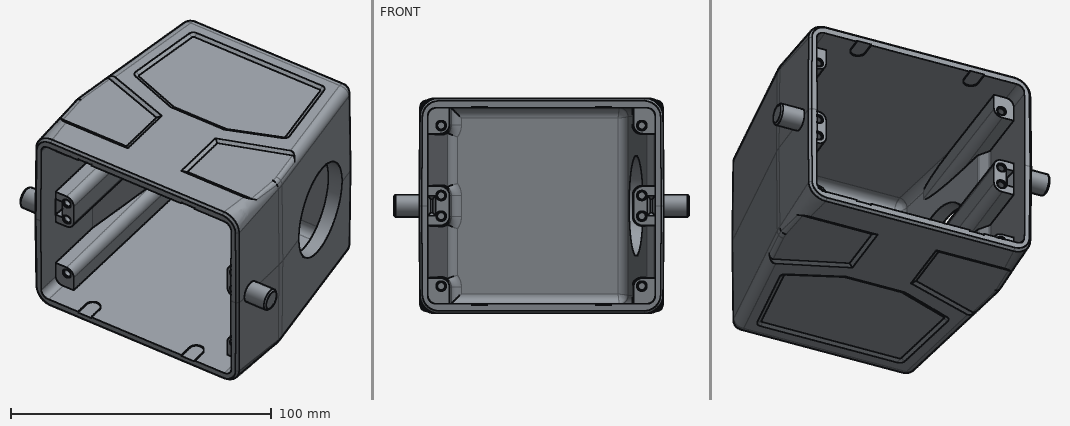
import cadquery as cq
import math

TOTAL_LENGTH = 113.2
BODY_WIDTH = 94.0
BODY_DEPTH = 94.0
BODY_HEIGHT = 82.5
HALF_WIDTH = BODY_WIDTH / 2
HALF_HEIGHT = BODY_HEIGHT / 2

SIDE_SLOPE = math.radians(8)
KNEE_Y = 29.9
KNEE_RADIUS = 21.0
CROWN_ANGLE = 0.5
EDGE_RADIUS = 4.0
RIM_CORNER_RADIUS = 7.4
RIM_CHAMFER = 1.0
CORNER_MARGIN = 1.1

OPENING_HALF_WIDTH = 43.7
CAVITY_HALF_HEIGHT = 37.6
FLOOR_Y = 90.0
OPENING_CORNER_RADIUS = 3.3
FLOOR_RADIUS = 3.8
INNER_KNEE_X = 43.4
INNER_KNEE_Y = 35.1
BOSS_START_Y = 31.7
BOSS_KNEE_X = 40.2
BOSS_KNEE_Y = 36.2
BOSS_EDGE_RADIUS = 1.7

POST_FACE_Y = 10.2
POST_INNER_X = 35.3
POST_OUTER_X = 50.9
MIDDLE_POST_HALF_HEIGHT = 7.5
CORNER_POST_Z = 27.7
CORNER_POST_TOP_Z = 45.3
POST_RADIUS = 3.4
POST_DRAFT = 0.5
SCREW_X = 38.5
SCREW_ROWS_Z = (4.0, 30.8)
SCREW_DIAMETER = 2.9
SCREW_CHAMFER = 0.5
SCREW_DEPTH = 13.6

NOTCH_INNER_X = 40.5
NOTCH_HALF_HEIGHT = 3.8
NOTCH_DEPTH = 3.4
NOTCH_TAPER = 20.0

GROOVE_X = 23.8
GROOVE_WIDTH = 6.0
GROOVE_END_Y = 9.0
GROOVE_DEPTH = 0.5

PEG_DIAMETER = 8.6
PEG_Y = 8.8
PEG_CHAMFER = 0.7
PEG_ROOT_X = OPENING_HALF_WIDTH + 1.1

ENTRY_DIAMETER = 38.5
ENTRY_X = 36.3
ENTRY_Y = 64.0
ENTRY_REACH = 2.8
ENTRY_LENGTH = 22.6

RECESS_DEPTH = 0.85
RECESS_WALL_ANGLE = 63.0
LABEL_TOP_Y = 85.8
LABEL_TOP_HALF_WIDTH = 30.8
LABEL_SIDE_Y = 51.6
LABEL_BOTTOM_Y = 42.9
LABEL_CORNER_RADIUS = 2.3
GRIP_INNER_X = 12.3
GRIP_OUTER_X = 52.1
GRIP_BOTTOM_Y = 13.0
GRIP_TOP_Y = 36.7
GRIP_SLOPE = math.radians(19)
GRIP_EDGE_RADIUS = 2.3


def leaned_x(x, from_y, to_y):
    """X of a side wall at to_y when it passes through x at from_y."""
    return x - (to_y - from_y) * math.tan(SIDE_SLOPE)


def both_sides(shape):
    """The shape together with its mirror image across X = 0."""
    return shape.union(shape.mirror("YZ"))


def outer_outline():
    """Outline of the hood in the parting plane, with a rounded knee in each side wall."""
    back_x = leaned_x(HALF_WIDTH, KNEE_Y, BODY_DEPTH)
    tangent = KNEE_RADIUS * math.tan(SIDE_SLOPE / 2)
    before_y = KNEE_Y - tangent
    after_y = KNEE_Y + tangent * math.cos(SIDE_SLOPE)
    after_x = leaned_x(HALF_WIDTH, KNEE_Y, after_y)
    middle_x = HALF_WIDTH - KNEE_RADIUS * (1 - math.cos(SIDE_SLOPE / 2))
    middle_y = before_y + KNEE_RADIUS * math.sin(SIDE_SLOPE / 2)
    return (
        cq.Workplane("XY")
        .moveTo(-HALF_WIDTH, 0)
        .lineTo(HALF_WIDTH, 0)
        .lineTo(HALF_WIDTH, before_y)
        .threePointArc((middle_x, middle_y), (after_x, after_y))
        .lineTo(back_x, BODY_DEPTH)
        .lineTo(-back_x, BODY_DEPTH)
        .lineTo(-after_x, after_y)
        .threePointArc((-middle_x, middle_y), (-HALF_WIDTH, before_y))
        .close()
    )


def corner_section(radius):
    """Points of the waste outside a rounded upper right corner: start, arc middle, arc end and outside."""
    side_x = HALF_WIDTH - (HALF_HEIGHT - radius) * math.tan(math.radians(CROWN_ANGLE))
    center_x = side_x - radius
    center_z = HALF_HEIGHT - radius
    diagonal = radius * math.sqrt(0.5)
    return (
        (center_x, HALF_HEIGHT),
        (center_x + diagonal, center_z + diagonal),
        (side_x, center_z),
        (side_x + CORNER_MARGIN, HALF_HEIGHT + CORNER_MARGIN),
    )


def corner_waste():
    """Waste outside the long edges, whose radius grows from the knee to the rim."""

    def draw(plane, radius):
        start, middle, end, outside = corner_section(radius)
        return (
            plane.moveTo(*start)
            .threePointArc(middle, end)
            .lineTo(outside[0], end[1])
            .lineTo(*outside)
            .lineTo(start[0], outside[1])
            .close()
        )

    rim = draw(cq.Workplane("XZ"), RIM_CORNER_RADIUS)
    swell_length = KNEE_Y - KNEE_RADIUS * math.tan(SIDE_SLOPE / 2)
    return both_sides(draw(rim.workplane(offset=-swell_length), EDGE_RADIUS).loft(ruled=True))


def recess_plane():
    return cq.Workplane("XY").workplane(offset=HALF_HEIGHT)


def label_recess():
    side_x = LABEL_TOP_HALF_WIDTH + (LABEL_TOP_Y - LABEL_SIDE_Y) * math.tan(SIDE_SLOPE)
    outline = [
        (-LABEL_TOP_HALF_WIDTH, LABEL_TOP_Y),
        (LABEL_TOP_HALF_WIDTH, LABEL_TOP_Y),
        (side_x, LABEL_SIDE_Y),
        (GRIP_INNER_X, LABEL_BOTTOM_Y),
        (-GRIP_INNER_X, LABEL_BOTTOM_Y),
        (-side_x, LABEL_SIDE_Y),
    ]
    sketch = cq.Sketch().polygon(outline + outline[:1]).vertices("not <Y").fillet(LABEL_CORNER_RADIUS)
    return recess_plane().placeSketch(sketch).extrude(-RECESS_DEPTH, taper=RECESS_WALL_ANGLE)


def grip_recess():
    """Recess beside the label that runs out through the rounded long edge."""
    outer_top_y = GRIP_TOP_Y + (GRIP_OUTER_X - GRIP_INNER_X) * math.tan(GRIP_SLOPE)
    outline = [
        (GRIP_INNER_X, GRIP_BOTTOM_Y),
        (GRIP_OUTER_X, GRIP_BOTTOM_Y),
        (GRIP_OUTER_X, outer_top_y),
        (GRIP_INNER_X, GRIP_TOP_Y),
    ]
    return recess_plane().polyline(outline).close().extrude(-RECESS_DEPTH, taper=RECESS_WALL_ANGLE)


def shell():
    """Solid hood: one drafted half with its recesses, mirrored across the parting plane."""
    half = outer_outline().extrude(HALF_HEIGHT, taper=CROWN_ANGLE)
    back_corners = cq.selectors.BoxSelector((-56.6, 90.6, 1.1), (56.6, 101.9, 34))
    half = half.edges(back_corners).fillet(EDGE_RADIUS)
    half = half.faces(">Z").edges("not <Y").fillet(EDGE_RADIUS).cut(corner_waste())
    half = half.cut(label_recess()).cut(both_sides(grip_recess()))
    half = half.faces("<Y").edges("not <Z").chamfer(RIM_CHAMFER)
    right_grip_rim = cq.selectors.BoxSelector((40.8, 14.7, 39.6), (47.5, 46.4, 40.8))
    left_grip_rim = cq.selectors.BoxSelector((-47.5, 14.7, 39.6), (-40.8, 46.4, 40.8))
    half = half.edges(right_grip_rim + left_grip_rim).fillet(GRIP_EDGE_RADIUS)
    return half.union(half.mirror("XY"))


def post(z_low, z_high):
    """Screw post along Y, widening toward the floor of the cavity."""
    sketch = (
        cq.Sketch()
        .push([((POST_INNER_X + POST_OUTER_X) / 2, (z_low + z_high) / 2)])
        .rect(POST_OUTER_X - POST_INNER_X, z_high - z_low)
        .reset()
        .vertices()
        .fillet(POST_RADIUS)
    )
    return (
        cq.Workplane("XZ", origin=(0, POST_FACE_Y, 0))
        .placeSketch(sketch)
        .extrude(POST_FACE_Y - BODY_DEPTH, taper=-POST_DRAFT)
    )


def posts():
    middle = post(-MIDDLE_POST_HALF_HEIGHT, MIDDLE_POST_HALF_HEIGHT)
    upper = post(CORNER_POST_Z, CORNER_POST_TOP_Z)
    return both_sides(middle.union(upper).union(upper.mirror("XY")))


def cavity():
    """Inner space of the hood, with the screw posts left standing."""
    slope_end = leaned_x(INNER_KNEE_X, INNER_KNEE_Y, FLOOR_Y)
    boss_end = leaned_x(BOSS_KNEE_X, BOSS_KNEE_Y, FLOOR_Y)
    outline = [
        (-OPENING_HALF_WIDTH, 0),
        (OPENING_HALF_WIDTH, 0),
        (INNER_KNEE_X, BOSS_START_Y),
        (BOSS_KNEE_X, BOSS_KNEE_Y),
        (boss_end, FLOOR_Y),
        (-slope_end, FLOOR_Y),
        (-INNER_KNEE_X, INNER_KNEE_Y),
    ]
    space = (
        cq.Workplane("XY")
        .workplane(offset=-CAVITY_HALF_HEIGHT)
        .polyline(outline)
        .close()
        .extrude(2 * CAVITY_HALF_HEIGHT)
    )
    step = cq.selectors.BoxSelector((0, BOSS_START_Y - 1.1, -1.1), (HALF_WIDTH, BOSS_KNEE_Y + 1.1, 1.1))
    space = space.edges("|Z").edges(step).fillet(BOSS_EDGE_RADIUS)
    right_edges = cq.selectors.BoxSelector((0, 1.1, -HALF_HEIGHT), (HALF_WIDTH, FLOOR_Y - 1.1, HALF_HEIGHT))
    left_edges = cq.selectors.BoxSelector((-HALF_WIDTH, 1.1, -HALF_HEIGHT), (0, INNER_KNEE_Y, HALF_HEIGHT))
    space = space.faces("|Z").edges(right_edges + left_edges).fillet(OPENING_CORNER_RADIUS)
    space = space.cut(posts())
    return space.faces(">Y").edges().fillet(FLOOR_RADIUS)


def screw_holes():
    rows = [(SCREW_X * side, z * up) for side in (-1, 1) for z in SCREW_ROWS_Z for up in (-1, 1)]
    face = cq.Workplane("XZ", origin=(0, POST_FACE_Y, 0)).pushPoints(rows)
    bore = face.circle(SCREW_DIAMETER / 2).extrude(-SCREW_DEPTH)
    sink = face.circle(SCREW_DIAMETER / 2 + SCREW_CHAMFER).extrude(-SCREW_CHAMFER, taper=45)
    return bore.union(sink)


def notches():
    notch = (
        cq.Workplane("XZ", origin=(0, POST_FACE_Y, 0))
        .center((NOTCH_INNER_X + OPENING_HALF_WIDTH) / 2, 0)
        .rect(OPENING_HALF_WIDTH - NOTCH_INNER_X, 2 * NOTCH_HALF_HEIGHT)
        .extrude(-NOTCH_DEPTH, taper=NOTCH_TAPER)
    )
    return both_sides(notch)


def grooves():
    groove = (
        cq.Workplane("XY")
        .center(GROOVE_X, 0)
        .slot2D(2 * GROOVE_END_Y, GROOVE_WIDTH, 90)
        .extrude(GROOVE_DEPTH)
        .translate((0, 0, CAVITY_HALF_HEIGHT))
    )
    return both_sides(groove.union(groove.mirror("XY")))


def pegs():
    peg = (
        cq.Workplane("YZ", origin=(PEG_ROOT_X, PEG_Y, 0))
        .circle(PEG_DIAMETER / 2)
        .extrude(TOTAL_LENGTH / 2 - PEG_ROOT_X)
        .faces(">X")
        .chamfer(PEG_CHAMFER)
    )
    return both_sides(peg)


def cable_entry():
    """Round bore square to the leaning +X wall."""
    outward = cq.Vector(math.cos(SIDE_SLOPE), math.sin(SIDE_SLOPE), 0)
    start = cq.Vector(ENTRY_X, ENTRY_Y, 0) - outward * ENTRY_REACH
    return cq.Workplane(cq.Solid.makeCylinder(ENTRY_DIAMETER / 2, ENTRY_LENGTH, start, outward))


result = shell().cut(cavity()).union(pegs())
for opening in (screw_holes(), notches(), grooves(), cable_entry()):
    result = result.cut(opening)